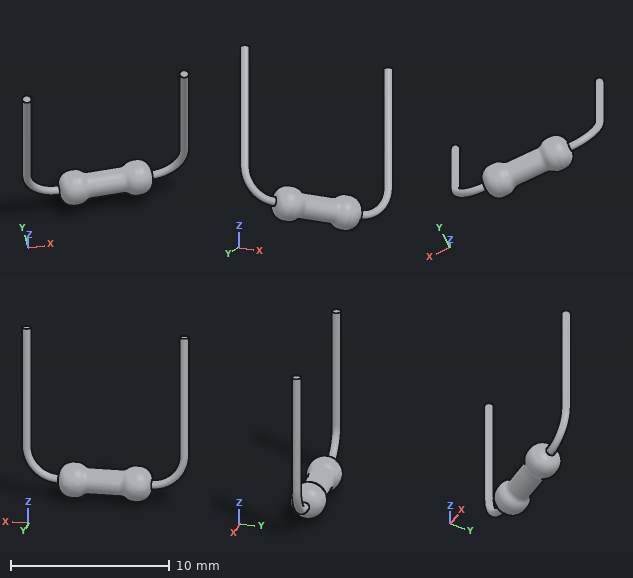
import cadquery as cq
import math

wire_diameter = 0.6
lead_pitch = 10.16
lead_height = 10.0

body_length = 6.0
bulb_diameter = 2.3
neck_diameter = 1.7
bulb_center = 2.0
bulb_band_width = 0.3
shoulder_radius = 0.75
waist_radius = 0.5

wire_radius = wire_diameter / 2
bulb_radius = bulb_diameter / 2
neck_radius = neck_diameter / 2
half_pitch = lead_pitch / 2
half_length = body_length / 2

band_inner = bulb_center - bulb_band_width / 2
band_outer = bulb_center + bulb_band_width / 2

arc_center_rise = shoulder_radius + waist_radius - (bulb_radius - neck_radius)
arc_sweep = math.acos(arc_center_rise / (shoulder_radius + waist_radius))
arc_run = (shoulder_radius + waist_radius) * math.sin(arc_sweep)
neck_end = band_inner - arc_run


def point_on_arc(center_x, center_r, radius, angle):
    """Point at an angle from the +r direction, turning towards +X."""
    return (center_x + radius * math.sin(angle), center_r + radius * math.cos(angle))


def shoulder_point(angle):
    return point_on_arc(band_inner, bulb_radius - shoulder_radius, shoulder_radius, -angle)


def waist_point(angle):
    return point_on_arc(neck_end, neck_radius + waist_radius, waist_radius, math.pi - angle)


def end_cap_point(angle):
    """Quarter-round end cap from the bulb band down to the wire at the end of the body."""
    cap_radius = half_length - band_outer
    return point_on_arc(band_outer, bulb_radius - cap_radius, cap_radius, angle)


def mirrored(point):
    return (-point[0], point[1])


def make_body():
    """Dumbbell-shaped body with a bore for the wire along its axis."""
    shoulder_middle = shoulder_point(arc_sweep / 2)
    shoulder_end = shoulder_point(arc_sweep)
    waist_middle = waist_point(arc_sweep / 2)
    neck_corner = (neck_end, neck_radius)
    band_inner_corner = (band_inner, bulb_radius)
    band_outer_corner = (band_outer, bulb_radius)
    cap_middle = end_cap_point(math.pi / 4)
    cap_end = end_cap_point(math.pi / 2)

    profile = (
        cq.Workplane("XY")
        .moveTo(*mirrored(cap_end))
        .threePointArc(mirrored(cap_middle), mirrored(band_outer_corner))
        .lineTo(*mirrored(band_inner_corner))
        .threePointArc(mirrored(shoulder_middle), mirrored(shoulder_end))
        .threePointArc(mirrored(waist_middle), mirrored(neck_corner))
        .lineTo(*neck_corner)
        .threePointArc(waist_middle, shoulder_end)
        .threePointArc(shoulder_middle, band_inner_corner)
        .lineTo(*band_outer_corner)
        .threePointArc(cap_middle, cap_end)
        .close()
    )
    return profile.revolve(360, (0, 0, 0), (1, 0, 0))


def make_lead_wire():
    """One round wire through the body, bent upwards on both sides."""
    bend_radius = half_pitch - half_length
    bend_offset = bend_radius * math.sin(math.pi / 4)
    bend_middle = (half_length + bend_offset, bend_radius - bend_offset)
    bend_end = (half_pitch, bend_radius)

    path = (
        cq.Workplane("XZ")
        .moveTo(-half_pitch, lead_height)
        .lineTo(*mirrored(bend_end))
        .threePointArc(mirrored(bend_middle), (-half_length, 0))
        .lineTo(half_length, 0)
        .threePointArc(bend_middle, bend_end)
        .lineTo(half_pitch, lead_height)
    )
    section = cq.Workplane("XY", origin=(-half_pitch, 0, lead_height)).circle(wire_radius)
    return section.sweep(path)


body = make_body()
lead_wire = make_lead_wire()

result = cq.Compound.makeCompound([body.val(), lead_wire.val()])